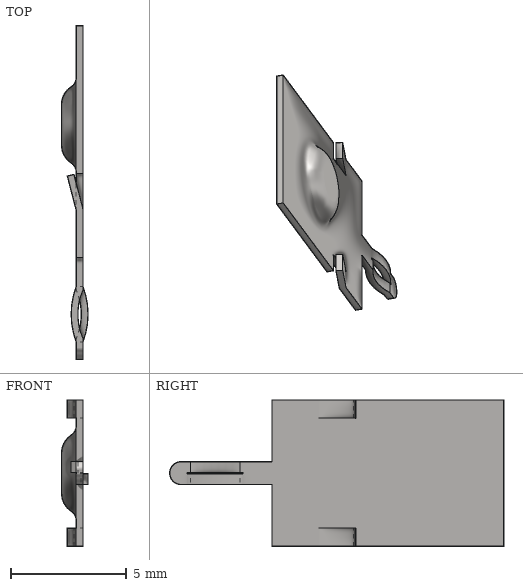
import cadquery as cq
import math

SHEET = 0.3
PLATE_LENGTH = 10.05
PLATE_HEIGHT = 6.35

DOME_Y = 5.74
DOME_HEIGHT = 0.64
DOME_FLAT_RADIUS = 0.87
DOME_CROWN_RADIUS = 0.94
DOME_FOOT_RADIUS = 0.465

TAB_BEND_Y = 2.04
TAB_LENGTH = 1.54
TAB_WIDTH = 0.79
TAB_ANGLE = 14.5
NOTCH_LENGTH = 1.59

TAIL_LENGTH = 4.43
TAIL_WIDTH = 1.0
EYE_START = 1.26
EYE_LENGTH = 2.4
EYE_INNER_LENGTH = 2.14
EYE_BOW = 0.22
SLIT_WIDTH = 0.05


def sheet_block(y_range, z_range):
    """Flat piece of full sheet thickness between the given Y and Z limits."""
    y_low, y_high = y_range
    z_low, z_high = z_range
    block = cq.Workplane("XY").box(SHEET, y_high - y_low, z_high - z_low, centered=False)
    return block.translate((0, y_low, z_low))


def make_plate():
    """Rectangular plate with a notch behind each tab."""
    half_height = PLATE_HEIGHT / 2
    plate = sheet_block((0, PLATE_LENGTH), (-half_height, half_height))
    notch_y = (TAB_BEND_Y, TAB_BEND_Y + NOTCH_LENGTH)
    shoulder = half_height - TAB_WIDTH
    for z_range in ((-half_height, -shoulder), (shoulder, half_height)):
        plate = plate.cut(sheet_block(notch_y, z_range))
    return plate


def make_dome():
    """Crown and foot arcs meet tangentially; each is also tangent to the flat it joins."""
    slope = math.acos(1 - DOME_HEIGHT / (DOME_CROWN_RADIUS + DOME_FOOT_RADIUS))
    crown_centre_x = DOME_CROWN_RADIUS - DOME_HEIGHT
    foot_radius = DOME_FLAT_RADIUS + (DOME_CROWN_RADIUS + DOME_FOOT_RADIUS) * math.sin(slope)

    def crown_point(angle):
        radius = DOME_FLAT_RADIUS + DOME_CROWN_RADIUS * math.sin(angle)
        return (crown_centre_x - DOME_CROWN_RADIUS * math.cos(angle), radius)

    def foot_point(angle):
        radius = foot_radius - DOME_FOOT_RADIUS * math.sin(angle)
        return (-DOME_FOOT_RADIUS * (1 - math.cos(angle)), radius)

    profile = (
        cq.Workplane("XY")
        .moveTo(SHEET, 0)
        .lineTo(-DOME_HEIGHT, 0)
        .lineTo(-DOME_HEIGHT, DOME_FLAT_RADIUS)
        .threePointArc(crown_point(slope / 2), crown_point(slope))
        .threePointArc(foot_point(slope / 2), (0, foot_radius))
        .lineTo(SHEET, foot_radius)
        .close()
    )
    return profile.revolve(360, (0, 0, 0), (1, 0, 0)).translate((0, DOME_Y, 0))


def make_tab(z_low):
    """Sharp inside bend at the outer face, rounded over the sheet thickness behind it."""
    angle = math.radians(TAB_ANGLE)

    def bend_point(turn):
        return (SHEET * math.cos(turn), TAB_BEND_Y + SHEET * math.sin(turn))

    run_x = -TAB_LENGTH * math.sin(angle)
    run_y = TAB_LENGTH * math.cos(angle)
    bend_x, bend_y = bend_point(angle)
    return (
        cq.Workplane("XY", origin=(0, 0, z_low))
        .moveTo(0, TAB_BEND_Y)
        .lineTo(SHEET, TAB_BEND_Y)
        .threePointArc(bend_point(angle / 2), (bend_x, bend_y))
        .lineTo(bend_x + run_x, bend_y + run_y)
        .lineTo(run_x, TAB_BEND_Y + run_y)
        .close()
        .extrude(TAB_WIDTH)
    )


def make_bowed_strip(z_low, width):
    """Strip bowed toward -X between two arcs, as thick as the sheet at its middle and flat at its ends."""
    half_length = EYE_LENGTH / 2
    middle_y = -EYE_START - half_length
    inner_half_length = EYE_INNER_LENGTH / 2
    return (
        cq.Workplane("XY", origin=(0, middle_y, z_low))
        .moveTo(0, half_length)
        .threePointArc((-EYE_BOW, 0), (0, -half_length))
        .lineTo(SHEET, -half_length)
        .lineTo(SHEET, -inner_half_length)
        .threePointArc((SHEET - EYE_BOW, 0), (SHEET, inner_half_length))
        .lineTo(SHEET, half_length)
        .close()
        .extrude(width)
    )


def make_tail():
    """Flat root and round-tipped end joined by two strips bowed to opposite sides."""
    half_width = TAIL_WIDTH / 2
    eye_end = EYE_START + EYE_LENGTH
    tip_centre_y = half_width - TAIL_LENGTH
    root = sheet_block((-EYE_START, 0), (-half_width, half_width))
    end = (
        cq.Workplane("YZ")
        .moveTo(-eye_end, half_width)
        .lineTo(tip_centre_y, half_width)
        .threePointArc((-TAIL_LENGTH, 0), (tip_centre_y, -half_width))
        .lineTo(-eye_end, -half_width)
        .close()
        .extrude(SHEET)
    )

    strip_width = (TAIL_WIDTH - SLIT_WIDTH) / 2
    upper_strip = make_bowed_strip(SLIT_WIDTH / 2, strip_width)
    lower_strip = make_bowed_strip(-half_width, strip_width).mirror("YZ", (SHEET / 2, 0, 0))
    return root.union(end).union(upper_strip).union(lower_strip)


result = make_plate().union(make_dome()).union(make_tail())
for tab_z_low in (-PLATE_HEIGHT / 2, PLATE_HEIGHT / 2 - TAB_WIDTH):
    result = result.union(make_tab(tab_z_low))